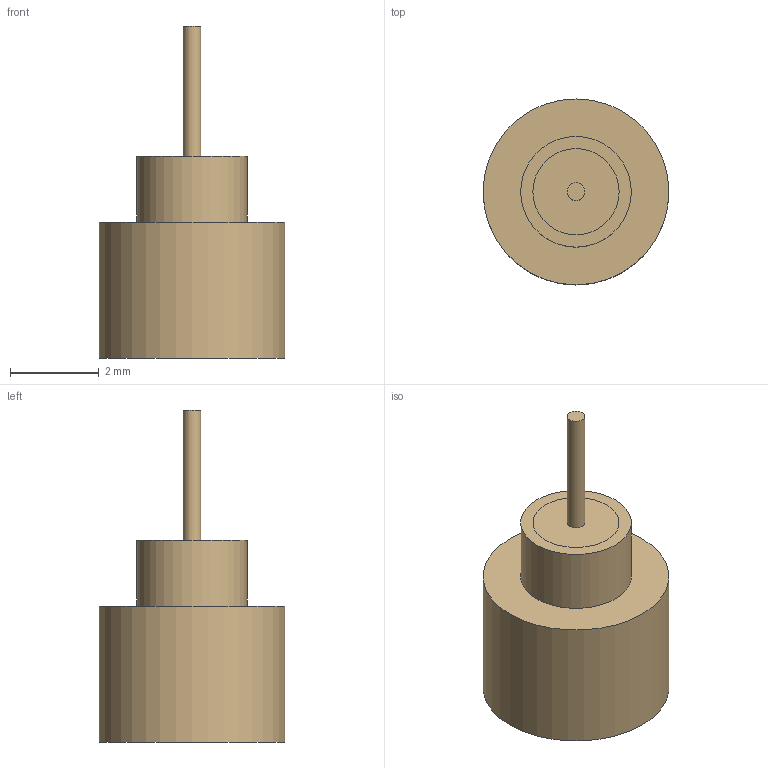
import cadquery as cq

total_height = 7.5
body_diameter = 4.2

body_height = 3.07
collar_height = 1.49
collar_top = body_height + collar_height

collar_diameter = 2.5
insulator_diameter = 1.95
pin_diameter = 0.4


def cylinder(diameter, bottom, top):
    """Upright cylinder on the Z axis."""
    base = cq.Workplane("XY").workplane(offset=bottom)
    return base.circle(diameter / 2).extrude(top - bottom)


def make_housing():
    """Wide body and narrower collar, with the insulator seat open at the top."""
    body = cylinder(body_diameter, 0, body_height)
    collar = cylinder(collar_diameter, body_height, collar_top)
    seat = cylinder(insulator_diameter, body_height, collar_top)
    return body.union(collar).cut(seat)


def make_core():
    """Insulator flush with the collar top, carrying the central pin."""
    insulator = cylinder(insulator_diameter, body_height, collar_top)
    pin = cylinder(pin_diameter, collar_top, total_height)
    return insulator.union(pin)


result = make_housing().union(make_core(), clean=False)